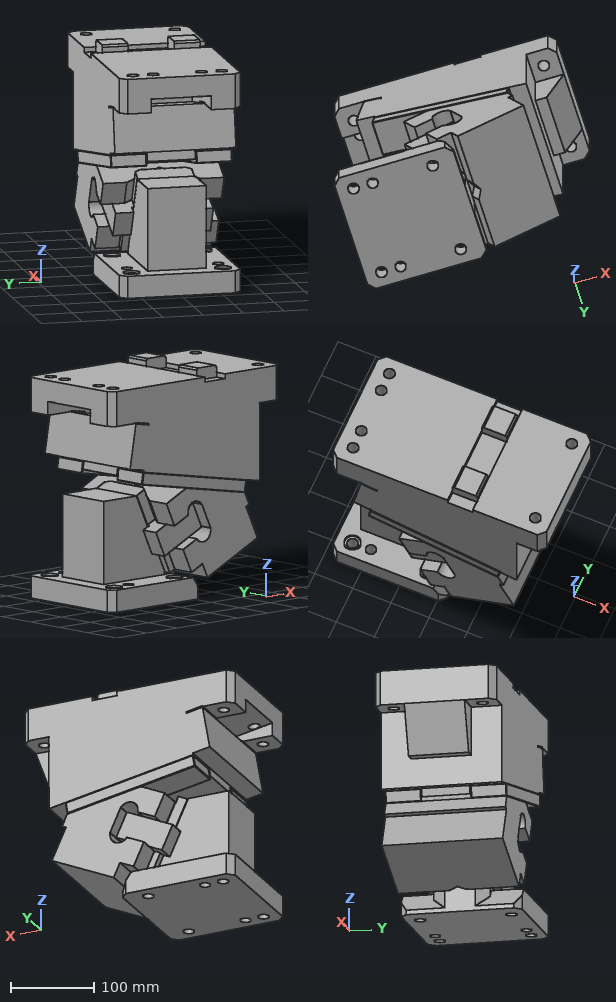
import cadquery as cq
import math


length = 280.0
width = 150.0
height = 279.0
half_width = width / 2
corner_chamfer = 8.5
margin = 2.8

nose_tilt = 25.0
nose_x = 110.5
nose_z = 79.0
v_half_angle = 60.0
v_half_width = 45.5
v_depth = v_half_width / math.tan(math.radians(v_half_angle))

guide_tilt = 10.0
guide_x = 52.5
guide_z = 166.0
guide_length = 172.8

foot_length = 150.0
foot_height = 27.5
foot_hole_x = (21.0, 120.7)
foot_hole_y = 56.5
foot_bore = 13.5
foot_counterbore = 20.2
foot_counterbore_depth = 2.8
dowel_x = 45.0
dowel_diameter = 13.0
foot_slope_x = 134.7
foot_slope_z = 5.5
post_x = 23.0
post_half_width = 36.0
nose_back_p = -8.5
nose_top_q = 59.0
nose_peak_p = 10.0
nose_top_slope = 17.0
nose_half_width = 35.0
nose_lower_half_width = 45.0
riser_top = 39.0
riser_tip_depth = 9.2
return_key_height = 34.0
return_key_start_p = -18.8
return_key_end_p = 48.5
return_key_inner_y = 38.0
return_key_outer_y = 60.5

cheek_top_q = 48.5
cheek_bottom_q = -49.5
heel_p = 20.0
heel_q = -69.5
slider_face_p = 111.2
lip_q = -25.0
key_slot_end_gap = 1.5
relief_radius = 12.5
relief_center_q = 14.3
flange_thickness = 15.5
flange_chamfer = 0.8
rail_slot_half_width = 30.8
rail_slot_depth = 10.0

plate_top = 270.0
plate_bottom = 227.5
plate_hole_diameter = 13.5
plate_hole_x = (21.0, 260.0)
plate_hole_y = 55.0
front_hole_y = 30.0
keyway_start_x = 153.7
keyway_width = 33.0
keyway_depth = 6.0
key_inner_y = 28.5
key_outer_y = 60.5
key_chamfer = 2.5
rail_half_width = 29.7
pad_height = 2.2
oil_groove_depth = 2.0
oil_groove_inner_y = 44.8
oil_groove_outer_y = 51.5
block_front_a = -23.0
block_back_x = 244.2
shelf_b = 57.5
slit_thickness = 1.7
slit_end_a = -1.5
pocket_half_width = 37.2
pocket_roof_z = 244.2
pocket_end_x = 98.0
rib_bottom_x = 258.2
rib_bottom_z = 167.7

cos_nose = math.cos(math.radians(nose_tilt))
sin_nose = math.sin(math.radians(nose_tilt))
cos_guide = math.cos(math.radians(guide_tilt))
sin_guide = math.sin(math.radians(guide_tilt))


def from_nose(p, q):
    """Return the (x, z) position of a point given in the nose frame."""
    return (nose_x + p * cos_nose - q * sin_nose, nose_z + p * sin_nose + q * cos_nose)


def to_nose(x, z):
    """Return the nose-frame (p, q) position of a point given as (x, z)."""
    dx = x - nose_x
    dz = z - nose_z
    return (dx * cos_nose + dz * sin_nose, dz * cos_nose - dx * sin_nose)


def from_guide(a, b):
    """Return the (x, z) position of a point given in the guide frame."""
    return (guide_x + a * cos_guide + b * sin_guide, guide_z - a * sin_guide + b * cos_guide)


def side_prism(points, y_start, y_end):
    """Extrude an (x, z) outline between two y positions."""
    start_plane = cq.Workplane("XZ", origin=(0, y_start, 0))
    return start_plane.polyline(points).close().extrude(y_start - y_end)


def nose_prism(points, q_start, q_end):
    """Extrude a (p, y) outline across the nose axis."""
    origin_x, origin_z = from_nose(0, q_start)
    plane = cq.Plane((origin_x, 0, origin_z), (cos_nose, 0, sin_nose), (-sin_nose, 0, cos_nose))
    return cq.Workplane(plane).polyline(points).close().extrude(q_end - q_start)


def nose_rectangle(p_start, p_end, q_start, q_end):
    """Return the (x, z) corners of a rectangle aligned with the nose."""
    corners = [(p_start, q_start), (p_end, q_start), (p_end, q_end), (p_start, q_end)]
    return [from_nose(p, q) for p, q in corners]


def guide_rectangle(a_start, a_end, b_start, b_end):
    """Return the (x, z) corners of a rectangle aligned with the guide."""
    corners = [(a_start, b_start), (a_end, b_start), (a_end, b_end), (a_start, b_end)]
    return [from_guide(a, b) for a, b in corners]


def both_sides(body):
    """Return a body on the +y side together with its mirror image."""
    return body.union(body.mirror("XZ"))


def chamfered_plate(plate_length, z_bottom, z_top):
    """Full-width plate starting at x = 0, with its four upright corners chamfered."""
    plate = cq.Workplane("XY", origin=(0, 0, z_bottom)).rect(plate_length, width).extrude(z_top - z_bottom)
    return plate.edges("|Z").chamfer(corner_chamfer).translate((plate_length / 2, 0, 0))


def upright_holes(points, diameter, z_bottom, z_top):
    """Vertical cylinders that cut holes between two heights."""
    base_plane = cq.Workplane("XY", origin=(0, 0, z_bottom))
    return base_plane.pushPoints(points).circle(diameter / 2).extrude(z_top - z_bottom)


def make_foot():
    """Base plate with a sloped rear edge, counterbored screw holes and dowel holes."""
    foot = chamfered_plate(foot_length, 0, foot_height)
    slope = [
        (foot_slope_x, foot_height),
        (foot_length, foot_slope_z),
        (foot_length, foot_height),
    ]
    foot = foot.cut(side_prism(slope, -half_width, half_width))
    screws = [(x, y) for x in foot_hole_x for y in (-foot_hole_y, foot_hole_y)]
    dowels = [(dowel_x, y) for y in (-foot_hole_y, foot_hole_y)]
    foot = foot.cut(upright_holes(screws, foot_bore, 0, foot_height))
    seat_z = foot_height - foot_counterbore_depth
    foot = foot.cut(upright_holes(screws, foot_counterbore, seat_z, foot_height))
    return foot.cut(upright_holes(dowels, dowel_diameter, 0, foot_height))


def make_post():
    """Upright post whose rear face leans with the nose."""
    top_x, top_z = from_nose(nose_back_p, nose_top_q)
    low_x, low_z = from_nose(nose_back_p, cheek_bottom_q)
    outline = [(post_x, foot_height), (post_x, top_z), (top_x, top_z), (low_x, low_z), (low_x, foot_height)]
    return side_prism(outline, -post_half_width, post_half_width)


def v_nose(half, q_start, q_end):
    """Length of V-nose of the given half width, lying on the slider's V-groove."""
    side_p = v_depth * (1 - half / v_half_width)
    outline = [(nose_back_p, -half), (side_p, -half), (v_depth, 0), (side_p, half), (nose_back_p, half)]
    return nose_prism(outline, q_start, q_end)


def make_nose():
    """V-nose, narrow above the top of the return keys, with its tip sloping down."""
    key_top_q = return_key_height / 2
    nose = v_nose(nose_lower_half_width, cheek_bottom_q, key_top_q)
    nose = nose.union(v_nose(nose_half_width, key_top_q, nose_top_q))
    slope_run = v_depth - nose_peak_p
    slope_drop = slope_run * math.tan(math.radians(nose_tilt + nose_top_slope))
    tip = [
        from_nose(nose_peak_p, nose_top_q),
        from_nose(v_depth, nose_top_q),
        from_nose(v_depth, nose_top_q - slope_drop),
    ]
    return nose.cut(side_prism(tip, -half_width, half_width))


def make_riser():
    """Support under the nose, with a blunt V-shaped rear end."""
    low_x, low_z = from_nose(nose_back_p, cheek_bottom_q)
    top_x = low_x + (riser_top - low_z) / math.tan(math.radians(nose_tilt))
    outline = [(low_x, 0), (low_x, low_z), (top_x, riser_top), (foot_length, riser_top), (foot_length, 0)]
    riser = side_prism(outline, -nose_half_width, nose_half_width)
    tip_width = riser_tip_depth * math.tan(math.radians(v_half_angle))
    corner = [
        (foot_length - riser_tip_depth, nose_half_width),
        (foot_length, nose_half_width - tip_width),
        (foot_length, nose_half_width),
    ]
    tool = cq.Workplane("XY", origin=(0, 0, 0)).polyline(corner).close().extrude(riser_top)
    return riser.cut(both_sides(tool))


def make_driver():
    half_key = return_key_height / 2
    key_outline = nose_rectangle(return_key_start_p, return_key_end_p, -half_key, half_key)
    keys = both_sides(side_prism(key_outline, return_key_inner_y, return_key_outer_y))
    return make_foot().union(make_post()).union(make_riser()).union(make_nose()).union(keys)


def make_flanges():
    """Two chamfered guide flanges, one on each side of the holder's rail."""
    outline = guide_rectangle(0, guide_length, -flange_thickness, 0)
    flange = side_prism(outline, rail_slot_half_width, half_width)
    return both_sides(flange.edges().chamfer(flange_chamfer))


def make_key_slot():
    """Slot for a return key, with round corner reliefs at its closed end."""
    half_key = return_key_height / 2
    end_p = return_key_end_p + key_slot_end_gap
    slot = side_prism(nose_rectangle(-margin, end_p, -half_key, half_key), return_key_inner_y, half_width)
    for q in (-relief_center_q, relief_center_q):
        center = from_nose(end_p - relief_radius, q)
        relief_plane = cq.Workplane("XZ", origin=(0, return_key_inner_y, 0))
        relief = relief_plane.center(*center).circle(relief_radius).extrude(return_key_inner_y - half_width)
        slot = slot.union(relief)
    return both_sides(slot)


def make_slider():
    corner_p, corner_q = to_nose(*from_guide(guide_length, -flange_thickness))
    lean = math.tan(math.radians(nose_tilt + guide_tilt))
    cheek_end_p = corner_p - (cheek_top_q - corner_q) / lean
    outline = [
        (0, cheek_bottom_q),
        (heel_p, cheek_bottom_q),
        (heel_p, heel_q),
        (slider_face_p, heel_q),
        (slider_face_p, lip_q),
        (corner_p, lip_q),
        (corner_p, corner_q),
        (cheek_end_p, cheek_top_q),
        (0, cheek_top_q),
    ]
    wedge = side_prism([from_nose(p, q) for p, q in outline], -half_width, half_width)
    groove = [(0, -v_half_width), (v_depth, 0), (0, v_half_width)]
    wedge = wedge.cut(nose_prism(groove, heel_q - margin, cheek_top_q + margin))
    wedge = wedge.cut(make_key_slot())

    web_outline = [
        from_guide(0, -rail_slot_depth),
        from_guide(guide_length, -rail_slot_depth),
        from_guide(guide_length, -flange_thickness),
        from_nose(cheek_end_p, cheek_top_q),
    ]
    web = side_prism(web_outline, -rail_slot_half_width, rail_slot_half_width)
    return wedge.union(web).union(make_flanges())


def make_guide_block():
    """Body under the plate, with its inclined pad, oil grooves and guide rail."""
    shelf_x, shelf_z = from_guide(block_front_a, shelf_b)
    pad_end_a = (block_back_x - guide_x) / cos_guide
    outline = [
        from_guide(block_front_a, pad_height),
        from_guide(0, pad_height),
        from_guide(0, 0),
        from_guide(pad_end_a, 0),
        (block_back_x, plate_bottom),
        (shelf_x, plate_bottom),
        (shelf_x, shelf_z),
    ]
    block = side_prism(outline, -half_width, half_width)
    oil_groove = side_prism(
        guide_rectangle(0, guide_length, 0, oil_groove_depth), oil_groove_inner_y, oil_groove_outer_y
    )
    rail = side_prism(
        guide_rectangle(0, guide_length, -rail_slot_depth, pad_height), -rail_half_width, rail_half_width
    )
    return block.cut(both_sides(oil_groove)).union(rail)


def make_rib():
    """Tapered rib behind the guide block."""
    outline = [
        (block_back_x, rib_bottom_z),
        (rib_bottom_x, rib_bottom_z),
        (length, plate_bottom),
        (block_back_x, plate_bottom),
    ]
    return side_prism(outline, -pocket_half_width, pocket_half_width)


def make_front_pocket():
    """Wedge-shaped clearance between the plate and the front shelf of the block, plus the thin side slit."""
    shelf_end_a = (pocket_end_x - guide_x - shelf_b * sin_guide) / cos_guide
    roof_end_z = pocket_roof_z - pocket_end_x * math.tan(math.radians(guide_tilt))
    outline = [
        (0, plate_bottom),
        (0, pocket_roof_z),
        (pocket_end_x, roof_end_z),
        from_guide(shelf_end_a, shelf_b),
        from_guide(block_front_a, shelf_b),
    ]
    pocket = side_prism(outline, -pocket_half_width, pocket_half_width)
    slit = guide_rectangle(block_front_a, slit_end_a, shelf_b, shelf_b + slit_thickness)
    return pocket.union(side_prism(slit, -half_width, half_width))


def make_locating_keys():
    """Pair of keys seated in the keyway on top of the plate."""
    key_bottom = plate_top - keyway_depth
    key = cq.Workplane("XY").box(
        keyway_width, key_outer_y - key_inner_y, height - key_bottom, centered=False
    )
    key = key.edges("|Y and >Z").chamfer(key_chamfer)
    return both_sides(key.translate((keyway_start_x, key_inner_y, key_bottom)))


def make_holder():
    plate = chamfered_plate(length, plate_bottom, plate_top)
    holder = plate.union(make_guide_block()).union(make_rib()).cut(make_front_pocket())
    keyway_end_x = keyway_start_x + keyway_width
    keyway = [
        (keyway_start_x, plate_top - keyway_depth),
        (keyway_end_x, plate_top - keyway_depth),
        (keyway_end_x, plate_top),
        (keyway_start_x, plate_top),
    ]
    holder = holder.cut(side_prism(keyway, -half_width, half_width)).union(make_locating_keys())
    holes = [(x, y) for x in plate_hole_x for y in (-plate_hole_y, plate_hole_y)]
    holes += [(plate_hole_x[0], y) for y in (-front_hole_y, front_hole_y)]
    return holder.cut(upright_holes(holes, plate_hole_diameter, plate_bottom, plate_top))


driver = make_driver()
slider = make_slider()
holder = make_holder()

result = cq.Compound.makeCompound([driver.val(), slider.val(), holder.val()])